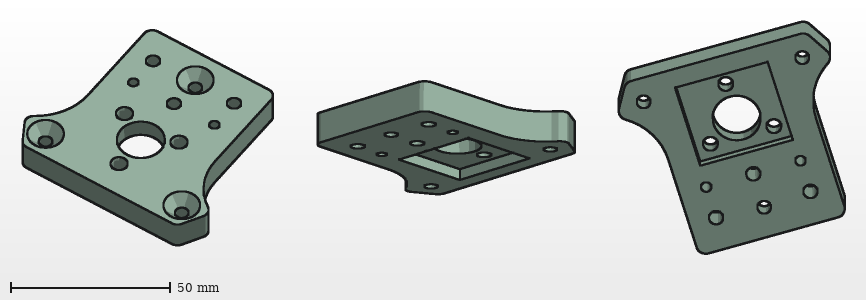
import cadquery as cq
import math

overall_width = 68.95
overall_length = 62.8
thickness = 10.0
body_half_width = 24.2
bottom_y = -22.9
top_y = bottom_y + overall_length
corner_radius = 3.0
neck_radius = 20.0
foot_angle = math.radians(-30)
foot_reach = 36.95

bore_diameter = 15.0
mount_circle_radius = 30.0
mount_hole_diameter = 4.3
countersink_diameter = 11.5
countersink_angle = 90
motor_circle_radius = 12.0
motor_hole_diameter = 4.6
motor_mouth_diameter = 5.4
motor_mouth_depth = 1.25
side_hole_x = 15.45
upper_row_y = 29.0
lower_row_y = 18.2
clearance_diameter = 4.5
small_hole_diameter = 3.25

pocket_floor_thickness = 6.4
pocket_half_width = 15.2
pocket_top_y = 10.75
pocket_bottom_y = -16.75


def on_circle(center, radius, angle):
    """Point on a circle at an angle in radians."""
    return (center[0] + radius * math.cos(angle), center[1] + radius * math.sin(angle))


def three_around_bore(radius, first_angle):
    """Three equally spaced points around the main bore."""
    return [on_circle((0, 0), radius, math.radians(first_angle + 120 * i)) for i in range(3)]


def right_side_arcs():
    """Start, middle and end of each arc on the right side, from bottom to top."""
    cos_foot = math.cos(foot_angle)
    sin_foot = math.sin(foot_angle)

    corner_distance = foot_reach - corner_radius

    heel_y = bottom_y + corner_radius
    heel = ((corner_distance - heel_y * sin_foot) / cos_foot, heel_y)
    toe_x = overall_width / 2 - corner_radius
    toe = (toe_x, (corner_distance - toe_x * cos_foot) / sin_foot)

    neck_x = body_half_width + neck_radius
    neck_rise = math.sqrt((neck_radius + corner_radius) ** 2 - (neck_x - toe[0]) ** 2)
    neck = (neck_x, toe[1] + neck_rise)
    neck_angle = math.atan2(neck_rise, neck_x - toe[0])
    top_corner = (body_half_width - corner_radius, top_y - corner_radius)

    arcs = [
        (heel, corner_radius, -math.pi / 2, foot_angle),
        (toe, corner_radius, foot_angle, neck_angle),
        (neck, neck_radius, neck_angle + math.pi, math.pi),
        (top_corner, corner_radius, 0, math.pi / 2),
    ]
    return [
        [on_circle(center, radius, angle) for angle in (start, (start + end) / 2, end)]
        for center, radius, start, end in arcs
    ]


def make_plate():
    """Symmetric plate with two splayed feet: the right half, mirrored."""
    heel, toe, neck, top_corner = right_side_arcs()
    half = (
        cq.Workplane("XY")
        .moveTo(0, bottom_y)
        .lineTo(*heel[0])
        .threePointArc(*heel[1:])
        .lineTo(*toe[0])
        .threePointArc(*toe[1:])
        .threePointArc(*neck[1:])
        .lineTo(*top_corner[0])
        .threePointArc(*top_corner[1:])
        .lineTo(0, top_y)
        .close()
        .extrude(thickness)
    )
    return half.union(half.mirror("YZ")).clean()


def cut_motor_pocket(plate):
    """Rectangular pocket in the underside, around the bore and the motor holes."""
    pocket = cq.Workplane("XY").box(
        2 * pocket_half_width,
        pocket_top_y - pocket_bottom_y,
        thickness - pocket_floor_thickness,
        centered=(True, False, False),
    )
    return plate.cut(pocket.translate((0, pocket_bottom_y, 0)))


def drill(plate, points, diameter):
    """Plain through holes."""
    return plate.cut(cq.Workplane("XY").pushPoints(points).circle(diameter / 2).extrude(thickness))


def countersink(plate, points, hole_diameter, sink_diameter, sink_angle):
    """Through holes with a conical mouth in the upper face."""
    top_face = plate.faces(">Z").workplane(origin=(0, 0, thickness))
    return top_face.pushPoints(points).cskHole(hole_diameter, sink_diameter, sink_angle)


side_holes_upper = [(-side_hole_x, upper_row_y), (side_hole_x, upper_row_y)]
side_holes_lower = [(-side_hole_x, lower_row_y), (side_hole_x, lower_row_y)]
mount_points = three_around_bore(mount_circle_radius, 90)
motor_points = three_around_bore(motor_circle_radius, -90)
motor_mouth_taper = (motor_mouth_diameter - motor_hole_diameter) / 2
motor_mouth_angle = 2 * math.degrees(math.atan2(motor_mouth_taper, motor_mouth_depth))

result = make_plate()
result = cut_motor_pocket(result)
result = drill(result, [(0, 0)], bore_diameter)
result = drill(result, side_holes_upper + [(0, lower_row_y)], clearance_diameter)
result = drill(result, side_holes_lower, small_hole_diameter)
result = countersink(result, mount_points, mount_hole_diameter, countersink_diameter, countersink_angle)
result = countersink(result, motor_points, motor_hole_diameter, motor_mouth_diameter, motor_mouth_angle)